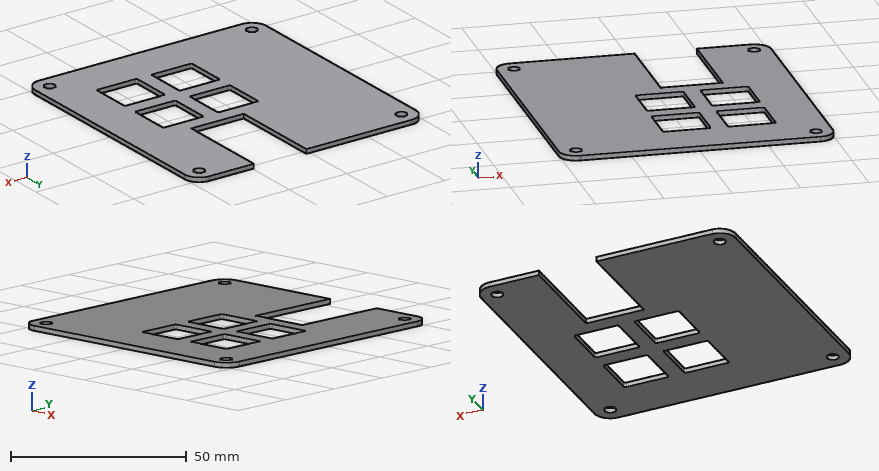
import cadquery as cq

plate_width = 80.3
plate_length = 84.0
plate_thickness = 1.5
corner_radius = 5.0

screw_hole_diameter = 3.4
screw_hole_inset = corner_radius

switch_size = 14.0
switch_corner_radius = 0.5
switch_pitch = 19.05
switch_columns = 2
switch_rows = 2
first_switch_x = -0.2
first_switch_y = -1.0

notch_width = 18.2
notch_depth = 31.0
notch_center_x = 10.5


def base_plate():
    """Flat plate with rounded vertical corners."""
    plate = cq.Workplane("XY").box(
        plate_width, plate_length, plate_thickness, centered=(True, True, False)
    )
    return plate.edges("|Z").fillet(corner_radius)


def screw_holes():
    """Four through-hole cutters, one at each plate corner."""
    spacing_x = plate_width - 2 * screw_hole_inset
    spacing_y = plate_length - 2 * screw_hole_inset
    return (
        cq.Workplane("XY")
        .rect(spacing_x, spacing_y, forConstruction=True)
        .vertices()
        .circle(screw_hole_diameter / 2)
        .extrude(plate_thickness)
    )


def switch_cutout(center_x, center_y):
    """Cutter for one square switch opening with slightly rounded corners."""
    return (
        cq.Workplane("XY")
        .center(center_x, center_y)
        .rect(switch_size, switch_size)
        .extrude(plate_thickness)
        .edges("|Z")
        .fillet(switch_corner_radius)
    )


def edge_notch():
    """Cutter for the sharp-cornered notch in the +Y edge."""
    notch_center_y = (plate_length - notch_depth) / 2
    return (
        cq.Workplane("XY")
        .center(notch_center_x, notch_center_y)
        .rect(notch_width, notch_depth)
        .extrude(plate_thickness)
    )


result = base_plate().cut(screw_holes()).cut(edge_notch())

for column in range(switch_columns):
    for row in range(switch_rows):
        switch_x = first_switch_x + column * switch_pitch
        switch_y = first_switch_y - row * switch_pitch
        result = result.cut(switch_cutout(switch_x, switch_y))